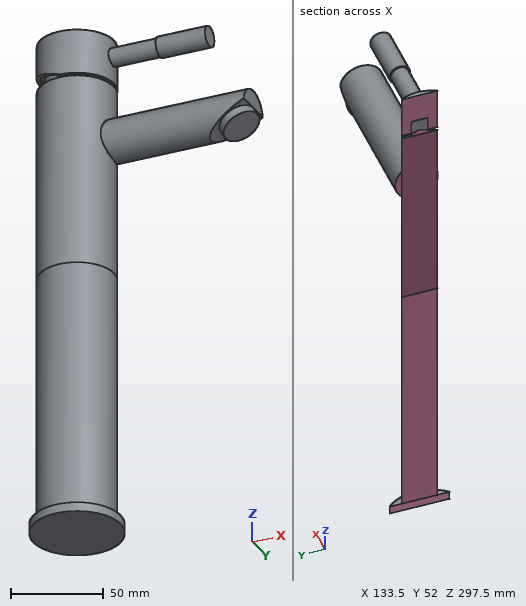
import cadquery as cq
import math

total_height = 297.5

flange_diameter = 52.0
flange_height = 5.5

column_diameter = 44.0
column_joint_z = 154.7
column_top_z = 269.2

neck_base_radius = 20.5
neck_top_radius = 17.0
neck_height = 10.0

cap_wall = 2.0
cap_gap = 1.8
cap_slope_start_x = 0.0
cap_slope_angle = 20.0

handle_z = 286.8
rod_diameter = 10.7
grip_diameter = 12.2
grip_start_x = 50.0
grip_end_x = 79.7

spout_diameter = 25.0
spout_y = 1.8
spout_z = 236.2
spout_end_x = 105.0
outlet_angle = 30.0
outlet_corner_z = 238.3

aerator_diameter = 22.0
aerator_thickness = 5.0

column_radius = column_diameter / 2
neck_top_z = column_top_z + neck_height
cap_bottom_z = column_top_z + cap_gap


def upright_cylinder(diameter, bottom_z, top_z):
    """Cylinder on the column axis between two heights."""
    return cq.Workplane("XY", origin=(0, 0, bottom_z)).circle(diameter / 2).extrude(top_z - bottom_z)


def level_cylinder(diameter, start_x, end_x, y, z):
    """Cylinder along X between two positions."""
    return cq.Workplane("YZ", origin=(start_x, y, z)).circle(diameter / 2).extrude(end_x - start_x)


def make_neck():
    """Tapered neck standing on the column."""
    return (
        cq.Workplane("XZ", origin=(0, 0, column_top_z))
        .lineTo(neck_base_radius, 0)
        .lineTo(neck_top_radius, neck_height)
        .lineTo(0, neck_height)
        .close()
        .revolve(360, (0, 0, 0), (0, 1, 0))
    )


def make_cap():
    """Cap with a sloped underside and a round recess whose ceiling rests on the neck."""
    cap = upright_cylinder(column_diameter, cap_bottom_z, total_height)
    slope_run = column_diameter
    slope_rise = slope_run * math.tan(math.radians(cap_slope_angle))
    slope_wedge = (
        cq.Workplane("XZ", origin=(cap_slope_start_x, 0, cap_bottom_z))
        .lineTo(-slope_run, 0)
        .lineTo(-slope_run, slope_rise)
        .close()
        .extrude(column_radius, both=True)
    )
    recess = upright_cylinder(column_diameter - 2 * cap_wall, cap_bottom_z, neck_top_z)
    return cap.cut(slope_wedge).cut(recess)


def make_rod():
    """Handle rod whose inner end follows the round side of the cap."""
    return level_cylinder(rod_diameter, 0, grip_start_x, 0, handle_z).cut(
        upright_cylinder(column_diameter, cap_bottom_z, total_height)
    )


def make_spout():
    """Spout fitted to the round column, with its lower end cut to a slanted outlet."""
    spout = level_cylinder(spout_diameter, 0, spout_end_x, spout_y, spout_z)
    cut_run = 2 * spout_diameter
    cut_drop = cut_run * math.tan(math.radians(outlet_angle))
    outlet_wedge = (
        cq.Workplane("XZ", origin=(spout_end_x, spout_y, outlet_corner_z))
        .lineTo(0, -cut_drop)
        .lineTo(-cut_run, -cut_drop)
        .close()
        .extrude(spout_diameter, both=True)
    )
    column_side = upright_cylinder(column_diameter, column_joint_z, column_top_z)
    return spout.cut(outlet_wedge).cut(column_side)


def make_aerator():
    """Disc square to the outlet face, its upper edge at the outlet's top corner."""
    angle = math.radians(outlet_angle)
    radius = aerator_diameter / 2
    centre = (
        spout_end_x - radius * math.cos(angle),
        spout_y,
        outlet_corner_z - radius * math.sin(angle),
    )
    outward = (math.sin(angle), 0, -math.cos(angle))
    outlet_plane = cq.Plane(origin=centre, xDir=(0, 1, 0), normal=outward)
    return cq.Workplane(outlet_plane).circle(radius).extrude(aerator_thickness)


flange = upright_cylinder(flange_diameter, 0, flange_height)
lower_column = upright_cylinder(column_diameter, flange_height, column_joint_z)
upper_column = upright_cylinder(column_diameter, column_joint_z, column_top_z)
neck = make_neck()
cap = make_cap()
rod = make_rod()
grip = level_cylinder(grip_diameter, grip_start_x, grip_end_x, 0, handle_z)
spout = make_spout()
aerator = make_aerator()

bodies = [flange, lower_column, upper_column, neck, cap, rod, grip, spout, aerator]
result = cq.Compound.makeCompound([body.val() for body in bodies])